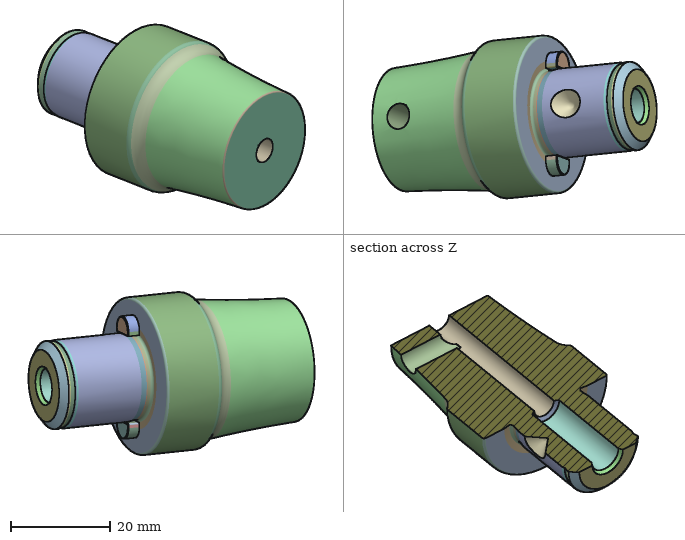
import cadquery as cq
import math

length = 54.5

spigot_radius = 9.0
nose_face_radius = 7.3
nose_cone_end = 1.4
nose_edge_drop = 0.05
nose_edge_end = 1.7

groove_start = 1.85
groove_floor_start = 2.7
groove_floor_end = 2.9
groove_blend_start = 3.2
groove_end = 3.55
groove_depth = 0.2
groove_blend_depth = 0.08

undercut_start = 17.55
undercut_cone_end = 18.8
undercut_neck_start = 19.0
undercut_neck_end = 19.7
undercut_depth = 0.2
undercut_blend_depth = 0.02
undercut_face_radius = 9.25
face_relief_radius = 10.75
face_relief_angle = 8.0

flange_face = 20.0
flange_diameter = 32.0
flange_radius = flange_diameter / 2
flange_fillet = 0.5
flange_end = 31.5
shoulder_end = 32.4
shoulder_drop = 0.45
blend_end = 35.0
taper_start_radius = 14.15
taper_end_radius = 12.55
taper_sag = 0.19
end_fillet = 0.25

bore_radius = 2.5
nose_hole_radius = 3.45
nose_hole_depth = flange_face
drill_tip_angle = 118.0
countersink_radius = 3.9
countersink_angle = 60.0

lock_recess_x = 12.2
lock_recess_radius = 3.3
lock_recess_angle = 90.0

clamp_hole_x = 48.25
clamp_hole_radius = 2.6

key_front = 17.45
key_half_width = 2.7
key_bottom = 9.0
key_top = 12.65
key_corner_fillet = 0.3
key_chamfer = 0.15


def turned_body():
    """Solid of revolution: spigot, flange, blend and hollow taper."""
    groove_floor_radius = spigot_radius - groove_depth
    groove_blend_radius = spigot_radius - groove_blend_depth
    neck_radius = spigot_radius - undercut_depth
    relief_depth = (face_relief_radius - undercut_face_radius) * math.tan(math.radians(face_relief_angle))
    taper_end = length - end_fillet
    taper_middle = (
        (blend_end + taper_end) / 2,
        (taper_start_radius + taper_end_radius) / 2 - taper_sag,
    )
    profile = (
        cq.Workplane("XY")
        .moveTo(0, 0)
        .lineTo(0, nose_face_radius)
        .lineTo(nose_cone_end, spigot_radius - nose_edge_drop)
        .lineTo(nose_edge_end, spigot_radius)
        .lineTo(groove_start, spigot_radius)
        .lineTo(groove_floor_start, groove_floor_radius)
        .lineTo(groove_floor_end, groove_floor_radius)
        .lineTo(groove_blend_start, groove_blend_radius)
        .tangentArcPoint((groove_end, spigot_radius), relative=False)
        .lineTo(undercut_start, spigot_radius)
        .lineTo(undercut_cone_end, neck_radius + undercut_blend_depth)
        .tangentArcPoint((undercut_neck_start, neck_radius), relative=False)
        .lineTo(undercut_neck_end, neck_radius)
        .tangentArcPoint((flange_face + relief_depth, undercut_face_radius), relative=False)
        .lineTo(flange_face, face_relief_radius)
        .lineTo(flange_face, flange_radius - flange_fillet)
        .tangentArcPoint((flange_face + flange_fillet, flange_radius), relative=False)
        .lineTo(flange_end, flange_radius)
        .tangentArcPoint((shoulder_end, flange_radius - shoulder_drop), relative=False)
        .tangentArcPoint((blend_end, taper_start_radius), relative=False)
        .threePointArc(taper_middle, (taper_end, taper_end_radius))
        .tangentArcPoint((length, taper_end_radius - end_fillet), relative=False)
        .lineTo(length, 0)
        .close()
    )
    return profile.revolve(360, (0, 0, 0), (1, 0, 0))


def cone_height(radius_change, included_angle):
    """Axial length over which a cone of the given included angle changes its radius."""
    return radius_change / math.tan(math.radians(included_angle / 2))


def central_bore():
    """Through hole along X: countersink, wider drilled hole with a conical bottom, then the bore."""
    countersink_depth = cone_height(countersink_radius - nose_hole_radius, countersink_angle)
    bore_start = nose_hole_depth + cone_height(nose_hole_radius - bore_radius, drill_tip_angle)
    profile = (
        cq.Workplane("XY")
        .moveTo(0, 0)
        .lineTo(0, countersink_radius)
        .lineTo(countersink_depth, nose_hole_radius)
        .lineTo(nose_hole_depth, nose_hole_radius)
        .lineTo(bore_start, bore_radius)
        .lineTo(length, bore_radius)
        .lineTo(length, 0)
        .close()
    )
    return profile.revolve(360, (0, 0, 0), (1, 0, 0))


def lock_recess():
    """Cone pointing at the axis, with its full radius level with the spigot's +Y side."""
    depth = cone_height(lock_recess_radius, lock_recess_angle)
    return cq.Workplane().add(
        cq.Solid.makeCone(
            lock_recess_radius,
            0,
            depth,
            pnt=cq.Vector(lock_recess_x, spigot_radius, 0),
            dir=cq.Vector(0, -1, 0),
        )
    )


def clamp_hole():
    """Round hole from the axis outward through the taper's +Y side."""
    return cq.Workplane("XZ").center(clamp_hole_x, 0).circle(clamp_hole_radius).extrude(-flange_radius)


def make_housing():
    """Turned body with its central bore, lock recess and clamping hole."""
    return turned_body().cut(central_bore()).cut(lock_recess()).cut(clamp_hole()).solids()


def make_drive_key(angle):
    """Round-topped key standing on the flange face, turned about X from the +Z position."""
    arc_centre = key_top - key_half_width
    key = (
        cq.Workplane("YZ", origin=(key_front, 0, 0))
        .moveTo(-key_half_width, key_bottom)
        .lineTo(key_half_width, key_bottom)
        .lineTo(key_half_width, arc_centre)
        .threePointArc((0, key_top), (-key_half_width, arc_centre))
        .close()
        .extrude(flange_face - key_front)
    )
    bottom_corners = key.faces("<Z").edges("|X")
    key = bottom_corners.fillet(key_corner_fillet)
    key = key.faces("<X").chamfer(key_chamfer)
    return key.rotate((0, 0, 0), (1, 0, 0), angle).solids()


housing = make_housing()
drive_keys = [make_drive_key(angle) for angle in (0, 180)]

result = cq.Compound.makeCompound([housing.val(), *[key.val() for key in drive_keys]])